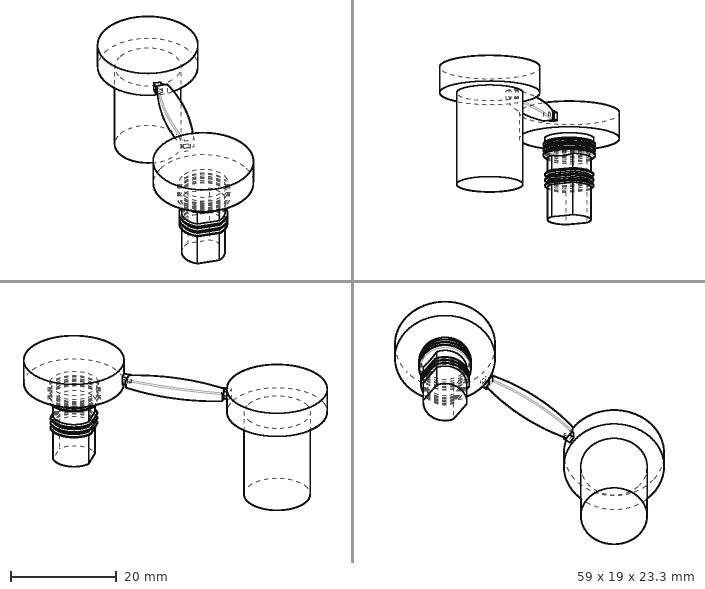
import cadquery as cq

length = 59.0
cap_diameter = 19.0
cap_radius = cap_diameter / 2
cap_x = (length - cap_diameter) / 2
cap_rim_height = 5.0
cap_apex_height = 5.5

sleeve_diameter = 12.55
sleeve_length = 17.8

neck_radius = 4.65
neck_length = 3.6
neck_cone_slope = 0.5
plug_length = 15.8
stem_radius = 4.15
stem_half_width = 3.55

ring_root_height = 0.7
ring_tip_height = 0.2
neck_ring_projection = 0.3
neck_ring_middle_z = -2.25
neck_ring_pitch = 1.0
stem_ring_projection = 0.5
stem_ring_middle_z = -8.1
stem_ring_pitch = 1.05

arm_z = 2.0
grip_length = 19.0
grip_middle_width = 4.0
grip_end_width = 2.0
grip_middle_height = 2.4
grip_end_height = 1.8
grip_fillet = 0.25
link_height = 1.6
link_width = 1.35
link_grip_overlap = 0.4
link_cap_overlap = 1.2


def make_cap():
    """Round cap with a very shallow domed top."""
    dome_rise = cap_apex_height - cap_rim_height
    dome_radius = (cap_radius**2 + dome_rise**2) / (2 * dome_rise)
    half_way = cap_radius / 2
    half_way_z = cap_apex_height - dome_radius + (dome_radius**2 - half_way**2) ** 0.5
    return (
        cq.Workplane("XZ")
        .lineTo(cap_radius, 0)
        .lineTo(cap_radius, cap_rim_height)
        .threePointArc((half_way, half_way_z), (0, cap_apex_height))
        .close()
        .revolve(360, (0, 0), (0, 1))
    )


def make_sleeve():
    return cq.Workplane("XY").circle(sleeve_diameter / 2).extrude(-sleeve_length)


def flatted_outline(plane, radius, half_width):
    """Circle of the given radius cut by flats at X = +/- half_width."""
    corner_y = (radius**2 - half_width**2) ** 0.5
    return (
        plane.moveTo(-half_width, -corner_y)
        .threePointArc((0, -radius), (half_width, -corner_y))
        .lineTo(half_width, corner_y)
        .threePointArc((0, radius), (-half_width, corner_y))
        .close()
    )


def ring_centres(middle_z, pitch):
    return [middle_z + step * pitch for step in (-1, 0, 1)]


def neck_ring(z):
    """Round ring with a tapered section."""
    tip_radius = neck_radius + neck_ring_projection
    profile = [
        (0, z - ring_root_height / 2),
        (neck_radius, z - ring_root_height / 2),
        (tip_radius, z - ring_tip_height / 2),
        (tip_radius, z + ring_tip_height / 2),
        (neck_radius, z + ring_root_height / 2),
        (0, z + ring_root_height / 2),
    ]
    return cq.Workplane("XZ").polyline(profile).close().revolve(360, (0, 0), (0, 1))


def stem_ring(z):
    """Ring with a tapered section that follows the flats of the stem."""
    tip_radius = stem_radius + stem_ring_projection
    tip_half_width = stem_half_width + stem_ring_projection
    tip_plane = cq.Workplane("XY").workplane(offset=z - ring_tip_height / 2)
    ring = flatted_outline(tip_plane, tip_radius, tip_half_width).extrude(ring_tip_height)
    for side in (-1, 1):
        root = cq.Workplane("XY").workplane(offset=z + side * ring_root_height / 2)
        flank = flatted_outline(root, stem_radius, stem_half_width)
        flank = flank.workplane(offset=side * (ring_tip_height - ring_root_height) / 2)
        flank = flatted_outline(flank, tip_radius, tip_half_width).loft(ruled=True)
        ring = ring.union(flank)
    return ring


def make_plug():
    cone_end_z = -neck_length - neck_cone_slope * neck_radius
    neck_profile = [(0, 0), (neck_radius, 0), (neck_radius, -neck_length), (0, cone_end_z)]
    plug = cq.Workplane("XZ").polyline(neck_profile).close().revolve(360, (0, 0), (0, 1))
    plug = plug.union(
        flatted_outline(cq.Workplane("XY"), stem_radius, stem_half_width).extrude(-plug_length)
    )
    for z in ring_centres(neck_ring_middle_z, neck_ring_pitch):
        plug = plug.union(neck_ring(z))
    for z in ring_centres(stem_ring_middle_z, stem_ring_pitch):
        plug = plug.union(stem_ring(z))
    return plug


def bowed_bar(plane, middle_size, end_size, depth):
    """Bar along X with two bowed sides and flat ends, centred on its plane."""
    end_x = grip_length / 2
    return (
        cq.Workplane(plane)
        .moveTo(-end_x, -end_size / 2)
        .threePointArc((0, -middle_size / 2), (end_x, -end_size / 2))
        .lineTo(end_x, end_size / 2)
        .threePointArc((0, middle_size / 2), (-end_x, end_size / 2))
        .close()
        .extrude(depth / 2, both=True)
    )


def make_grip():
    """Bar bowed both in plan and in elevation, with rounded edges above and below."""
    plan = bowed_bar("XY", grip_middle_width, grip_end_width, 2 * grip_middle_height)
    elevation = bowed_bar("XZ", grip_middle_height, grip_end_height, 2 * grip_middle_width)
    grip = plan.intersect(elevation)
    return grip.faces(">Z or <Z").edges().fillet(grip_fillet).translate((0, 0, arm_z))


def make_link(side):
    inner_x = grip_length / 2 - link_grip_overlap
    outer_x = cap_x - cap_radius + link_cap_overlap
    link = cq.Workplane("XY").box(outer_x - inner_x, link_width, link_height)
    return link.translate((side * (inner_x + outer_x) / 2, -link_width / 2, arm_z))


left_end = make_cap().union(make_sleeve()).translate((-cap_x, 0, 0))
right_end = make_cap().union(make_plug()).translate((cap_x, 0, 0))

result = left_end.union(right_end).union(make_grip())
for side in (-1, 1):
    result = result.union(make_link(side))